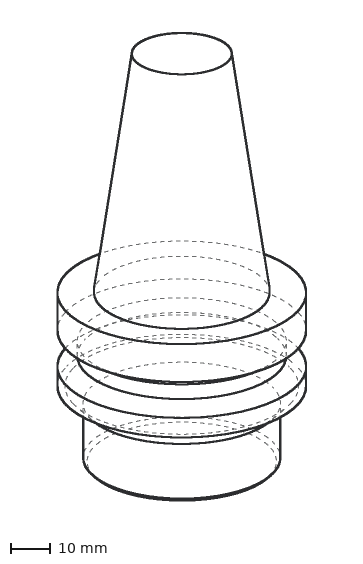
import cadquery as cq

flange_diameter = 63.0
groove_diameter = 53.0
gauge_diameter = 44.5
nose_diameter = 50.0
collar_diameter = 59.2

total_height = 113.4
cone_bottom = 16.2
flange_bottom = 21.0
groove_lower_edge = 26.4
groove_floor_bottom = 29.4
groove_floor_top = 33.5
groove_upper_edge = 36.4
flange_top = 47.0
land_height = 1.0
nose_chamfer = 1.0

taper_ratio = 7 / 24
taper_bottom = flange_top + land_height
tip_diameter = gauge_diameter - taper_ratio * (total_height - taper_bottom)

section = [
    (0, 0),
    (nose_diameter - 2 * nose_chamfer, 0),
    (nose_diameter, nose_chamfer),
    (nose_diameter, cone_bottom),
    (collar_diameter, flange_bottom),
    (flange_diameter, flange_bottom),
    (flange_diameter, groove_lower_edge),
    (groove_diameter, groove_floor_bottom),
    (groove_diameter, groove_floor_top),
    (flange_diameter, groove_upper_edge),
    (flange_diameter, flange_top),
    (gauge_diameter, flange_top),
    (gauge_diameter, taper_bottom),
    (tip_diameter, total_height),
    (0, total_height),
]

result = (
    cq.Workplane("XZ")
    .polyline([(diameter / 2, height) for diameter, height in section])
    .close()
    .revolve(360, (0, 0, 0), (0, 1, 0))
)